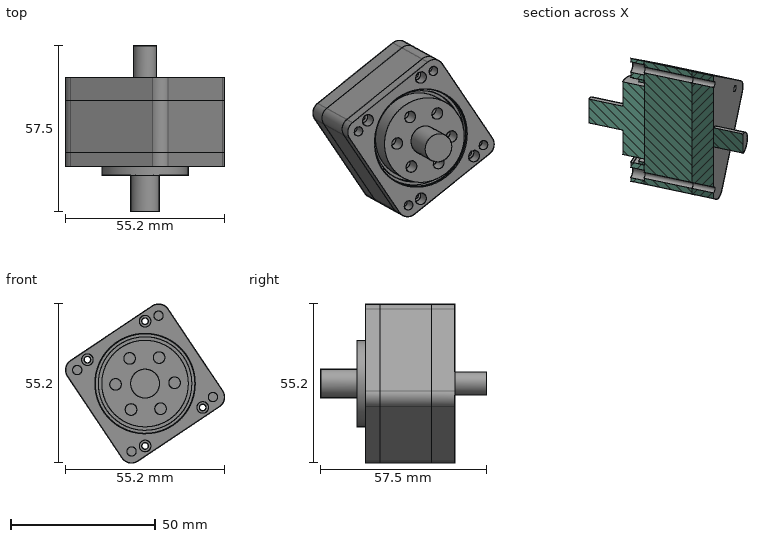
import cadquery as cq
import math


body_width = 42.0
corner_radius = 3.95
body_turn = 33.75
front_plate_thickness = 5.0
housing_length = 17.9
rear_plate_thickness = 8.1

flange_radius = 15.0
flange_projection = 3.0
output_shaft_radius = 5.0
output_shaft_length = 12.55
input_shaft_radius = 4.0
input_shaft_length = 11.0

flange_hole_count = 6
flange_hole_radius = 2.0
flange_hole_circle_radius = 10.25
flange_hole_turn = 1.6
flange_hole_depth = 6.0

screw_circle_radius = 21.6
screw_half_angle = 33.75
screw_head_radius = 2.0
screw_hole_radius = 1.1

corner_count = 4
mount_circle_radius = 24.0
mount_hole_radius = 1.6

bore_mouth_radius = 17.4
bore_mouth_depth = 1.0
bore_radius = 17.25
ring_inner_radius = 16.2
ring_recess = 3.0

housing_start = front_plate_thickness
rear_plate_start = housing_start + housing_length
rear_plate_end = rear_plate_start + rear_plate_thickness
flange_face = -flange_projection
output_shaft_end = flange_face - output_shaft_length
input_shaft_end = rear_plate_end + input_shaft_length


def circle_points(radius, angles):
    """Points (X, Z) at the given angles, in degrees from +X towards +Z."""
    return [
        (radius * math.cos(math.radians(angle)), radius * math.sin(math.radians(angle)))
        for angle in angles
    ]


def cylinders(radius, start, end, centres=((0, 0),)):
    """Cylinders along Y from start to end, one at each (X, Z) centre."""
    plane = cq.Workplane("XZ", origin=(0, end, 0))
    return plane.pushPoints(list(centres)).circle(radius).extrude(end - start)


def square_block(start, end):
    """Round-cornered square slab from start to end along Y, turned about the shaft axis."""
    slab = cq.Workplane("XZ", origin=(0, end, 0)).rect(body_width, body_width).extrude(end - start)
    slab = slab.edges("|Y").fillet(corner_radius)
    return slab.rotate((0, 0, 0), (0, 1, 0), -body_turn)


screwed_sides = [body_turn + 90, body_turn + 270]
screw_angles = [side + sign * screw_half_angle for side in screwed_sides for sign in (-1, 1)]
screw_centres = circle_points(screw_circle_radius, screw_angles)

corner_angles = [body_turn + 45 + i * 360 / corner_count for i in range(corner_count)]
mount_centres = circle_points(mount_circle_radius, corner_angles)

flange_hole_angles = [flange_hole_turn + i * 360 / flange_hole_count for i in range(flange_hole_count)]
flange_hole_centres = circle_points(flange_hole_circle_radius, flange_hole_angles)


def make_front_plate():
    """Front plate with a stepped bore, screw head holes and corner mounting holes."""
    plate = square_block(0, housing_start)
    plate = plate.cut(cylinders(bore_mouth_radius, 0, bore_mouth_depth))
    plate = plate.cut(cylinders(bore_radius, bore_mouth_depth, housing_start))
    plate = plate.cut(cylinders(screw_head_radius, 0, housing_start, screw_centres))
    return plate.cut(cylinders(mount_hole_radius, 0, housing_start, mount_centres))


def make_drilled_block(start, end):
    """Body section with the assembly screw holes running through it."""
    return square_block(start, end).cut(cylinders(screw_hole_radius, start, end, screw_centres))


def make_output():
    """Output flange with its shaft and a circle of blind holes."""
    flange = cylinders(flange_radius, flange_face, housing_start)
    shaft = cylinders(output_shaft_radius, output_shaft_end, flange_face)
    hole_end = flange_face + flange_hole_depth
    flange_holes = cylinders(flange_hole_radius, flange_face, hole_end, flange_hole_centres)
    return flange.union(shaft).cut(flange_holes)


def make_ring():
    """Ring seated in the bore around the output flange."""
    ring = cylinders(bore_radius, ring_recess, housing_start)
    return ring.cut(cylinders(ring_inner_radius, ring_recess, housing_start))


front_plate = make_front_plate()
housing = make_drilled_block(housing_start, rear_plate_start)
rear_plate = make_drilled_block(rear_plate_start, rear_plate_end)
output = make_output()
ring = make_ring()
input_shaft = cylinders(input_shaft_radius, rear_plate_end, input_shaft_end)

result = cq.Compound.makeCompound(
    [
        front_plate.val(),
        housing.val(),
        rear_plate.val(),
        output.val(),
        ring.val(),
        input_shaft.val(),
    ]
)